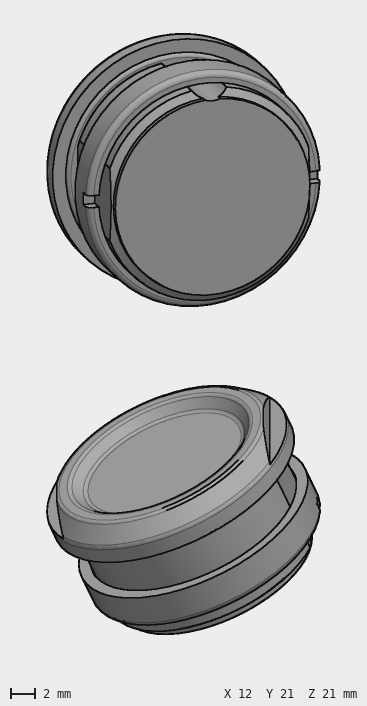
import cadquery as cq

edge_round = 0.5

head_radius = 10.5
head_thickness = 3.0
head_chamfer = 1.5
head_flat_offset = head_radius - head_chamfer

dish_radius = 7.88
dish_depth = 0.99
dish_floor_radius = dish_radius - dish_depth

bead_radius = 9.39
bead_round = 0.32
bead_end = head_thickness + bead_round

shank_radius = 9.0
shank_neck_radius = 8.82
shank_start = 3.72
shank_chamfer_start = 11.13
tip_start = 11.5
tip_radius = 8.3
total_length = 12.0
shank_flat_offset = 8.46

groove_radius = 1.85

nut_radius = 10.0
nut_start = 7.0
nut_end = 10.0
notch_size = 1.0


def turned(profile):
    """Revolve a closed (X, radius) profile about the X axis."""
    return profile.close().revolve(360, (0, 0, 0), (1, 0, 0))


def make_head():
    blank = turned(
        cq.Workplane("XY")
        .lineTo(0, head_flat_offset)
        .lineTo(head_chamfer, head_radius)
        .lineTo(head_thickness, head_radius)
        .lineTo(head_thickness, 0)
    )
    dish = turned(
        cq.Workplane("XY")
        .lineTo(0, dish_radius)
        .lineTo(dish_depth, dish_floor_radius)
        .lineTo(dish_depth, 0)
    )
    head = blank.cut(dish).edges("%CIRCLE").edges("not >X").fillet(edge_round)
    for side in (-1, 1):
        beyond_flat = cq.Workplane("XY").box(
            head_chamfer, head_radius, 2 * head_radius, centered=(False, True, True)
        ).translate((0, side * (head_flat_offset + head_radius / 2), 0))
        head = head.cut(beyond_flat)
    return head


def make_bead():
    profile = (
        cq.Workplane("XY")
        .moveTo(head_thickness, 0)
        .lineTo(head_thickness, bead_radius)
        .radiusArc((bead_end, bead_radius - bead_round), bead_round)
        .lineTo(bead_end, 0)
    )
    return turned(profile)


def make_shank():
    shank = turned(
        cq.Workplane("XY")
        .moveTo(bead_end, 0)
        .lineTo(bead_end, shank_neck_radius)
        .lineTo(shank_start, shank_radius)
        .lineTo(shank_chamfer_start, shank_radius)
        .lineTo(tip_start, tip_radius)
        .lineTo(total_length, tip_radius)
        .lineTo(total_length, 0)
    )
    between_flats = cq.Workplane("XY").box(
        total_length, 2 * shank_flat_offset, 2 * shank_radius, centered=(False, True, True)
    )
    groove = (
        cq.Workplane("YZ")
        .center(0, nut_radius)
        .circle(groove_radius)
        .extrude(total_length)
    )
    return shank.intersect(between_flats).cut(groove)


def make_nut():
    nut = (
        cq.Workplane("YZ", origin=(nut_start, 0, 0))
        .circle(nut_radius)
        .extrude(nut_end - nut_start)
        .faces(">X")
        .edges()
        .fillet(edge_round)
    )
    bore = cq.Workplane("YZ").circle(shank_radius).extrude(total_length)
    notches = cq.Workplane("XY").box(
        notch_size, 2 * nut_radius, notch_size, centered=(False, True, True)
    ).translate((nut_end - notch_size, 0, 0))
    return nut.cut(bore).cut(notches)


result = make_head().union(make_bead()).union(make_shank()).union(make_nut())